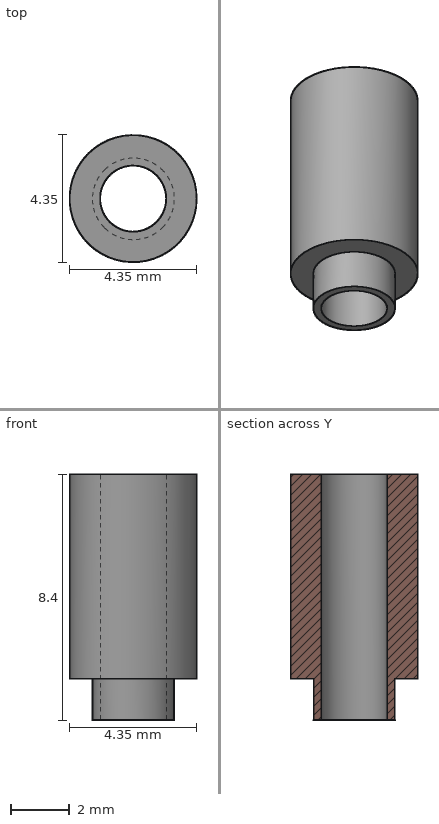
import cadquery as cq

total_height = 8.4
spigot_height = 1.4
body_diameter = 4.35
spigot_diameter = 2.8
bore_diameter = 2.25

body_height = total_height - spigot_height

spigot = cq.Workplane("XY").circle(spigot_diameter / 2).extrude(spigot_height)

sleeve = spigot.faces(">Z").workplane().circle(body_diameter / 2).extrude(body_height)

result = sleeve.faces(">Z").workplane().circle(bore_diameter / 2).cutThruAll()